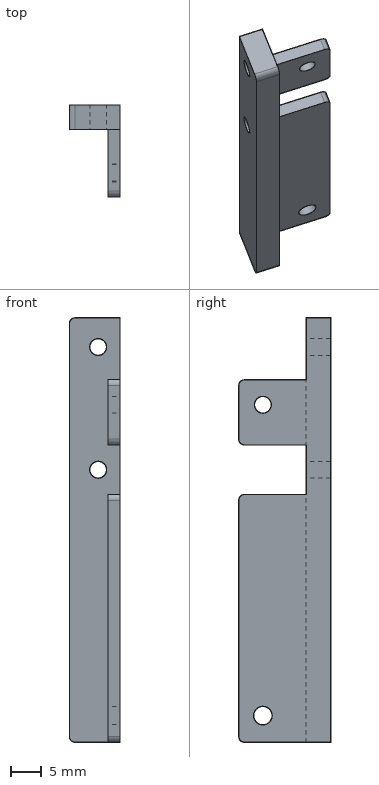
import cadquery as cq

width = 8.3
depth = 15.0
height = 69.2

bar_thickness = 4.0
fin_thickness = 2.0
corner_radius = 1.0

lower_fin_height = 40.4
tab_bottom = 48.4
tab_height = 10.65

screw_diameter = 2.7
screw_x = 4.7
screw_top_inset = 4.8
screw_spacing = 20.0
upper_screw_z = height - screw_top_inset
screw_heights = (upper_screw_z, upper_screw_z - screw_spacing)

fin_hole_y = 3.95
tab_hole_diameter = 2.7
tab_hole_z = 55.0
lower_hole_diameter = 3.0
lower_hole_z = 4.35

bar_front_y = depth - bar_thickness
fin_left_x = width - fin_thickness


def make_bar():
    """Upright bar with its two left corners rounded and two screw holes."""
    bar = cq.Workplane("XY").box(width, bar_thickness, height, centered=False)
    bar = bar.edges("|Y and <X").fillet(corner_radius)
    bar = bar.translate((0, bar_front_y, 0))
    for screw_z in screw_heights:
        hole = (
            cq.Workplane("XZ", origin=(screw_x, depth, screw_z))
            .circle(screw_diameter / 2)
            .extrude(bar_thickness)
        )
        bar = bar.cut(hole)
    return bar


def make_fin(bottom, fin_height, hole_diameter, hole_z):
    """Fin flush with the bar's right side, front corners rounded, one cross hole."""
    fin = cq.Workplane("XY").box(fin_thickness, bar_front_y, fin_height, centered=False)
    fin = fin.edges("|X and <Y").fillet(corner_radius)
    fin = fin.translate((fin_left_x, 0, bottom))
    hole = (
        cq.Workplane("YZ", origin=(fin_left_x, fin_hole_y, hole_z))
        .circle(hole_diameter / 2)
        .extrude(fin_thickness)
    )
    return fin.cut(hole)


lower_fin = make_fin(0, lower_fin_height, lower_hole_diameter, lower_hole_z)
tab = make_fin(tab_bottom, tab_height, tab_hole_diameter, tab_hole_z)

result = make_bar().union(lower_fin).union(tab)